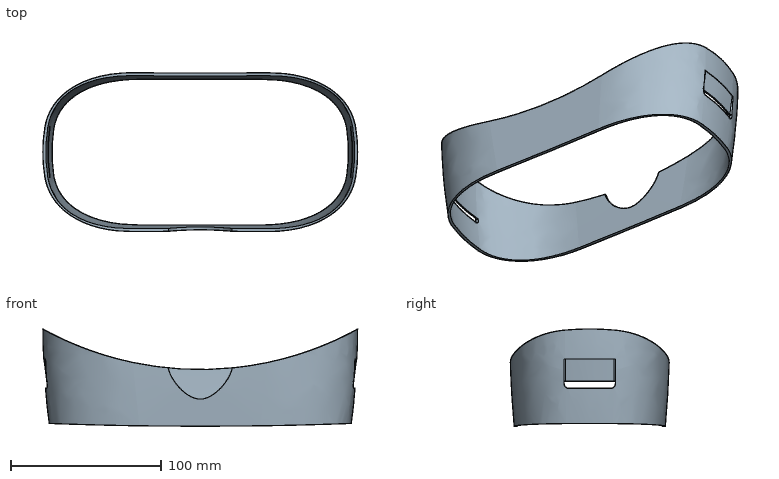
import cadquery as cq
import math

HALF_LENGTH = 105.0
HALF_WIDTH = 53.35
HEIGHT = 65.0
WALL = 2.0

LENGTH_DRAW_IN = 4.5
WIDTH_DRAW_IN = 2.9
FLAT_DRAW_IN = 6.8
END_DRAW_IN = 1.0

FLAT_HALF = 47.2
END_HALF = 16.5
END_RADIUS = 105.0
LONG_SIDE_PULL = 34.5
END_PULL = 19.5

RIM_LOW = 38.0
FOOT_RISE = 1.9

NOTCH_BOTTOM = 18.2
NOTCH_SHOULDER = (14.4, 26.4)
NOTCH_MOUTH = (21.3, 38.7)

SLOT_HALF_WIDTH = 17.0
SLOT_BOTTOM = 25.5
SLOT_TOP = 30.0
SLOT_CORNER = 2.8
RAMP_TOP = 45.0
RAMP_DEPTH = 1.2
RAMP_TOP_DEPTH = 0.2
FLOOR_HALF_WIDTH = 16.0

CLEARANCE = 10.0


def draw_in(z):
    """Fraction of the draw-in at height z: none at the top, all of it at the foot."""
    return ((HEIGHT - z) / HEIGHT) ** 2


def outer_half_length(z):
    return HALF_LENGTH - LENGTH_DRAW_IN * draw_in(z)


def outline(z, inset):
    """Closed plan outline of the wall at height z, moved inwards by inset."""
    length = outer_half_length(z) - inset
    width = HALF_WIDTH - WIDTH_DRAW_IN * draw_in(z) - inset
    flat = FLAT_HALF - FLAT_DRAW_IN * (HEIGHT - z) / HEIGHT
    end = END_HALF - END_DRAW_IN * draw_in(z)
    radius = END_RADIUS - inset
    angle = math.asin(end / radius)
    shoulder = length - radius * (1 - math.cos(angle))
    arm_x = flat + LONG_SIDE_PULL
    end_arm_x = shoulder - END_PULL * math.sin(angle)
    end_arm_y = end + END_PULL * math.cos(angle)

    def corner(sx, sy):
        """Control points from the long side to the end arc in one quadrant."""
        return [
            (sx * flat, sy * width),
            (sx * arm_x, sy * width),
            (sx * end_arm_x, sy * end_arm_y),
            (sx * shoulder, sy * end),
        ]

    return (
        cq.Workplane("XY", origin=(0, 0, z))
        .moveTo(-flat, -width)
        .lineTo(flat, -width)
        .bezier(corner(1, -1))
        .threePointArc((length, 0), (shoulder, end))
        .bezier(corner(1, 1)[::-1])
        .lineTo(-flat, width)
        .bezier(corner(-1, 1))
        .threePointArc((-length, 0), (-shoulder, -end))
        .bezier(corner(-1, -1)[::-1])
        .close()
        .val()
    )


def flared_body(inset):
    """Solid lofted through the outlines at the foot, at half height and at full height."""
    heights = (0.0, HEIGHT / 2, HEIGHT)
    return cq.Workplane(cq.Solid.makeLoft([outline(z, inset) for z in heights]))


def edge_trim():
    """Body between the arched foot and the saddle-shaped rim."""
    foot_end = outer_half_length(0)
    side_x = HALF_LENGTH + CLEARANCE
    return (
        cq.Workplane("XZ")
        .moveTo(-foot_end, FOOT_RISE)
        .threePointArc((0, 0), (foot_end, FOOT_RISE))
        .lineTo(side_x, FOOT_RISE)
        .lineTo(side_x, HEIGHT)
        .lineTo(HALF_LENGTH, HEIGHT)
        .threePointArc((0, RIM_LOW), (-HALF_LENGTH, HEIGHT))
        .lineTo(-side_x, HEIGHT)
        .lineTo(-side_x, FOOT_RISE)
        .close()
        .extrude(HALF_WIDTH + CLEARANCE, both=True)
    )


def nose_notch():
    """Rounded notch running through the front wall only."""
    mouth_x, mouth_z = NOTCH_MOUTH
    shoulder_x, shoulder_z = NOTCH_SHOULDER
    return (
        cq.Workplane("XZ")
        .moveTo(-mouth_x, mouth_z)
        .spline(
            [(-shoulder_x, shoulder_z), (0, NOTCH_BOTTOM), (shoulder_x, shoulder_z), (mouth_x, mouth_z)],
            includeCurrent=True,
        )
        .lineTo(mouth_x, HEIGHT)
        .lineTo(-mouth_x, HEIGHT)
        .close()
        .extrude(HALF_WIDTH + CLEARANCE)
    )


def end_wall_x(z, y):
    """X of the outer face of the +X end wall, where its outline is the end arc."""
    return outer_half_length(z) - END_RADIUS + math.sqrt(END_RADIUS**2 - y**2)


def ramp_section(z, depth):
    """Plan section of the lead-in: a floor parallel to the end arc, with bevelled sides."""
    outside = HALF_LENGTH + CLEARANCE
    shoulder_x = end_wall_x(z, SLOT_HALF_WIDTH)
    floor_x = end_wall_x(z, FLOOR_HALF_WIDTH) - depth
    return (
        cq.Workplane("XY", origin=(0, 0, z))
        .moveTo(outside, -SLOT_HALF_WIDTH)
        .lineTo(shoulder_x, -SLOT_HALF_WIDTH)
        .lineTo(floor_x, -FLOOR_HALF_WIDTH)
        .threePointArc((end_wall_x(z, 0) - depth, 0), (floor_x, FLOOR_HALF_WIDTH))
        .lineTo(shoulder_x, SLOT_HALF_WIDTH)
        .lineTo(outside, SLOT_HALF_WIDTH)
        .close()
        .val()
    )


def strap_slot():
    """Through slot with rounded lower corners and the ramp above it, at the +X end."""
    slot = (
        cq.Workplane("XY")
        .box(2 * CLEARANCE, 2 * SLOT_HALF_WIDTH, SLOT_TOP - SLOT_BOTTOM, centered=(True, True, False))
        .edges("|X and <Z")
        .fillet(SLOT_CORNER)
        .translate((HALF_LENGTH, 0, SLOT_BOTTOM))
    )
    ramp = cq.Solid.makeLoft(
        [ramp_section(SLOT_TOP, RAMP_DEPTH), ramp_section(RAMP_TOP, RAMP_TOP_DEPTH)], True
    )
    return slot.union(cq.Workplane(ramp))


band = flared_body(0.0).cut(flared_body(WALL)).intersect(edge_trim())
right_slot = strap_slot()
result = band.cut(nose_notch()).cut(right_slot).cut(right_slot.mirror("YZ"))